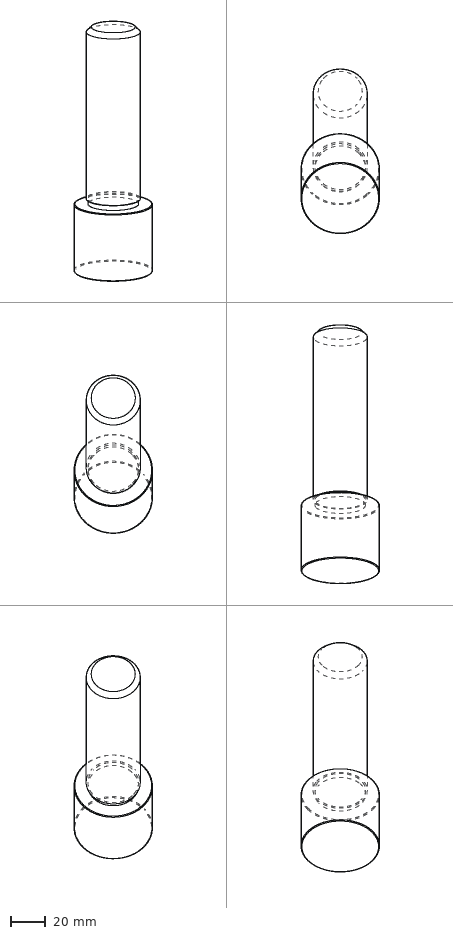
import cadquery as cq

total_length = 145.0
head_diameter = 45.0
head_length = 40.0
head_chamfer = 0.5

shank_diameter = 31.0
tip_chamfer = 2.9

groove_diameter = 29.0
groove_width = 3.0


def cylinder(diameter, bottom, height):
    """Upright cylinder on the Z axis, starting at the given level."""
    return cq.Workplane("XY").workplane(offset=bottom).circle(diameter / 2).extrude(height)


head = cylinder(head_diameter, 0, head_length).faces("<Z or >Z").chamfer(head_chamfer)

neck = cylinder(groove_diameter, head_length, groove_width)

shank_bottom = head_length + groove_width
shank = cylinder(shank_diameter, shank_bottom, total_length - shank_bottom)
shank = shank.faces(">Z").chamfer(tip_chamfer)

result = head.union(neck).union(shank)